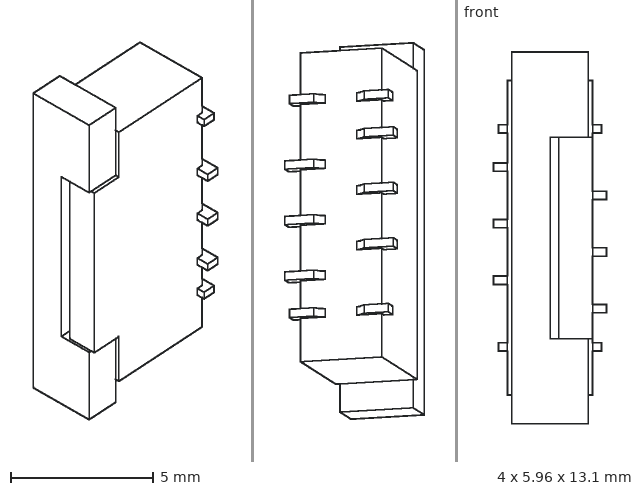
import cadquery as cq

flange_width = 2.7
flange_depth = 1.38
flange_height = 13.1

housing_width = 3.0
housing_depth = 4.3
housing_height = 11.08

slot_height = 7.1
slot_gap = 0.3
slot_left = 0.01
tongue_setback = 0.1

terminal_thickness = 0.3
terminal_depth = 0.52
terminal_protrusion = 0.28
contact_span = 4.0
contact_pitch = 1.99
contacts_per_side = 3
tab_span = 3.64
tab_offset = 3.84
relief_radius = 1.25
relief_center_offset = 1.1

total_depth = flange_depth + housing_depth + terminal_protrusion
front_y = -total_depth / 2
flange_back_y = front_y + flange_depth
housing_back_y = flange_back_y + housing_depth
back_y = housing_back_y + terminal_protrusion


def block(x_range, y_range, z_range):
    """Box spanning the given ranges along X, Y and Z."""
    sizes = [high - low for low, high in (x_range, y_range, z_range)]
    corner = (x_range[0], y_range[0], z_range[0])
    return cq.Workplane("XY").box(*sizes, centered=False).translate(corner)


def centered(size):
    return (-size / 2, size / 2)


def make_flange():
    """Flange with its slot, and the set-back tongue that leaves a narrow gap."""
    flange = block(centered(flange_width), (front_y, flange_back_y), centered(flange_height))
    slot_z = centered(slot_height)
    slot_right = housing_width / 2
    slot = block((slot_left, slot_right), (front_y, flange_back_y), slot_z)
    tongue = block(
        (slot_left + slot_gap, slot_right),
        (front_y + tongue_setback, flange_back_y),
        slot_z,
    )
    return flange.cut(slot).union(tongue)


def make_housing():
    return block(centered(housing_width), (flange_back_y, housing_back_y), centered(housing_height))


def make_terminal(side, reach, z):
    """Bar running outward from the mid-plane; side is -1 for -X and +1 for +X."""
    x_range = sorted((0, side * reach))
    z_range = (z - terminal_thickness / 2, z + terminal_thickness / 2)
    return block(x_range, (back_y - terminal_depth, back_y), z_range)


def make_terminals():
    """Staggered contacts and four anchor tabs, hollowed by a round relief along Z."""
    terminals = cq.Workplane("XY")
    for side in (-1, 1):
        for index in range(contacts_per_side):
            row_z = (index - (contacts_per_side - 1) / 2) * contact_pitch
            contact_z = row_z - side * contact_pitch / 4
            terminals = terminals.union(make_terminal(side, contact_span / 2, contact_z))
        for tab_z in (-tab_offset, tab_offset):
            terminals = terminals.union(make_terminal(side, tab_span / 2, tab_z))
    relief = (
        cq.Workplane("XY")
        .center(0, housing_back_y + relief_center_offset)
        .circle(relief_radius)
        .extrude(flange_height / 2, both=True)
    )
    return terminals.cut(relief)


result = make_flange().union(make_housing()).union(make_terminals())